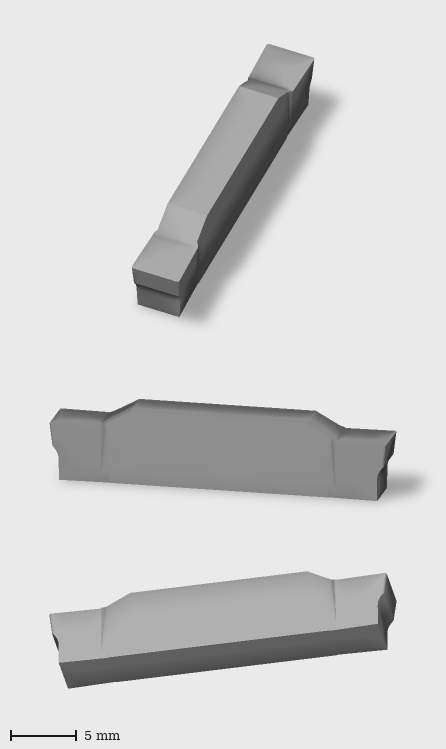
import cadquery as cq
import math

length = 26.2
head_width = 3.95
height = 5.8
body_width = 3.28
half_length = length / 2
half_body = body_width / 2

head_height = 4.5
head_depth = 3.88
ramp_start_depth = 4.03
ramp_end_depth = 6.24
ramp_angle = math.radians(29)
blend_mid_depth = 3.95
front_clearance = math.tan(math.radians(6.5))
land_bottom = 2.75
foot_height = 1.65
foot_depth = 0.7

corner_radius = 0.18
plan_relief = math.tan(math.radians(2))
side_draft = math.tan(math.radians(3))
head_end_depth = 4.66

shoulder_depth = 4.32
shoulder_lean = math.tan(math.radians(5.2))
shoulder_plan_slope = 1.4
shoulder_outer_half = 2.35
notch_depth = 4.5
notch_half = 1.6
notch_lean = math.tan(math.radians(10.6))


def side_outline():
    """Solid with the complete side outline, wider than both heads."""
    blend_end_height = height - (ramp_end_depth - ramp_start_depth) * math.tan(ramp_angle)
    blend_mid_height = head_height + (blend_end_height - head_height) / 4
    land_depth = (head_height - land_bottom) * front_clearance
    half = (
        cq.Workplane("YZ")
        .moveTo(0, 0)
        .lineTo(half_length - foot_depth, 0)
        .lineTo(half_length - foot_depth, foot_height)
        .tangentArcPoint((half_length - land_depth, land_bottom), relative=False)
        .lineTo(half_length, head_height)
        .lineTo(half_length - head_depth, head_height)
        .threePointArc(
            (half_length - blend_mid_depth, blend_mid_height),
            (half_length - ramp_start_depth, blend_end_height),
        )
        .lineTo(half_length - ramp_end_depth, height)
        .lineTo(0, height)
        .close()
        .extrude(head_width, both=True)
    )
    return half.union(half.mirror("XZ"))


def head_section(z):
    """Plan section of the drafted +Y head at height z, with rounded front corners."""
    below_edge = head_height - z
    front_y = half_length - below_edge * front_clearance
    corner_y = front_y - corner_radius
    widest_y = half_length - corner_radius
    back_y = half_length - head_end_depth

    def half_width(y):
        return head_width / 2 - (widest_y - y) * plan_relief - below_edge * side_draft

    side_x = half_width(corner_y)
    back_x = half_width(back_y)
    flat_x = side_x - corner_radius
    arc_x = flat_x + corner_radius * math.sqrt(0.5)
    arc_y = corner_y + corner_radius * math.sqrt(0.5)
    return (
        cq.Workplane("XY", origin=(0, 0, z))
        .moveTo(-back_x, back_y)
        .lineTo(back_x, back_y)
        .lineTo(side_x, corner_y)
        .threePointArc((arc_x, arc_y), (flat_x, front_y))
        .lineTo(-flat_x, front_y)
        .threePointArc((-arc_x, arc_y), (-side_x, corner_y))
        .close()
        .val()
    )


def shoulder_section(z):
    """Plan section bounded by the sloping shoulders behind the +Y head."""
    inner_y = half_length - shoulder_depth - (z - head_height) * shoulder_lean
    outer_y = inner_y + (shoulder_outer_half - half_body) * shoulder_plan_slope
    points = [
        (-half_body, inner_y),
        (half_body, inner_y),
        (shoulder_outer_half, outer_y),
        (shoulder_outer_half, half_length + outer_y),
        (-shoulder_outer_half, half_length + outer_y),
        (-shoulder_outer_half, outer_y),
    ]
    return cq.Workplane("XY", origin=(0, 0, z)).polyline(points).close().val()


def ruled_solid(section):
    """Straight loft of a plan section from the underside to the top."""
    return cq.Workplane(cq.Solid.makeLoft([section(0), section(height)], True))


def head():
    """Drafted +Y head, trimmed to the shoulders and the body width."""
    body_limit = cq.Workplane("XY").box(body_width, length * 2, height, centered=(True, True, False))
    return ruled_solid(head_section).intersect(ruled_solid(shoulder_section).union(body_limit))


def body_section(z):
    """Plan section of the centre bar, whose leaning end walls form the notches."""
    end_y = half_length - notch_depth + z * notch_lean
    side_y = half_length - head_end_depth + z * notch_lean
    half_outline = [
        (notch_half, -end_y),
        (half_body, -side_y),
        (half_body, side_y),
        (notch_half, end_y),
    ]
    opposite_side = [(-x, -y) for x, y in half_outline]
    return cq.Workplane("XY", origin=(0, 0, z)).polyline(half_outline + opposite_side).close().val()


end_head = head()
bar = ruled_solid(body_section).union(end_head).union(end_head.mirror("XZ"))
result = bar.intersect(side_outline())